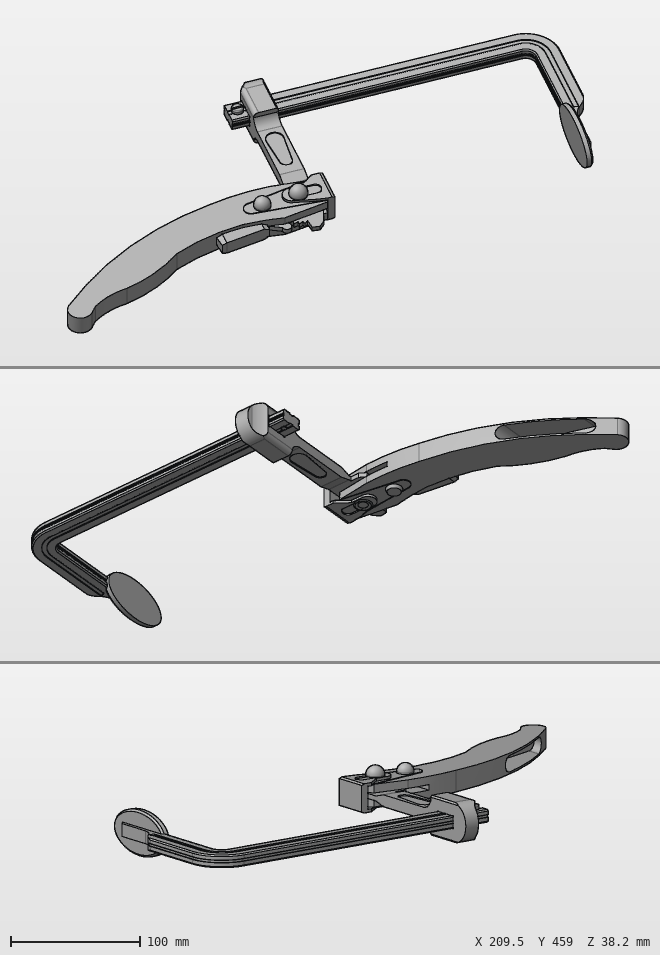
import cadquery as cq
import math


RAIL_WIDTH = 19.6
RAIL_HEIGHT = 10.2
RAIL_CHAMFER = 1.1
RAIL_FACE_GROOVE = 4.0
RAIL_SIDE_GROOVE = 2.0
RAIL_GROOVE_DEPTH = 0.9
RAIL_BOTTOM = -24.4
RAIL_TOP = 241.7
RAIL_BEND_RADIUS = 18.5
RAIL_END_X = 84.5
RAIL_END_SLANT = 5.5
RAIL_CORNER_LENGTH = 12.0
RAIL_CORNER_DROP = 7.7
PAD_LENGTH = 64.4
PAD_HEIGHT = 36.4
PAD_THICKNESS = 5.4
PAD_FACE_Y = 220.3
PAD_RIGHT_X = 141.2
PAD_BEVEL = 1.6
PAD_RIB_END_X = 129.0
PAD_RIB_RISE = 3.4
NECK_LENGTH = 10.7

ARM_WIDTH = 20.4
ARM_THICKNESS = 9.6
TONGUE_THICKNESS = 4.0
HEAD_HEIGHT = 32.0
HEAD_LEFT = -26.4
HEAD_RIGHT = 18.6
HEAD_STEP_Z = 11.8
ARM_NECK_X = 29.0
NECK_MID_X, NECK_MID_Z = 22.2, 6.8
SCOOP_END_X = -11.6
TAPER_START_X = 78.7
TAPER_END_X = 88.3
TONGUE_LEFT_X = 90.4
HEAD_ROUND = 4.2
HEAD_BEVEL = 1.4
ARM_POCKET_START, ARM_POCKET_START_RADIUS = 39.2, 7.2
ARM_POCKET_END, ARM_POCKET_END_RADIUS = 65.2, 5.0
ARM_POCKET_DEPTH = 1.0
TOOTH_TIP_RADIUS = 24.0
TOOTH_DEPTH = 2.6
TOOTH_COUNT = 4
TOOTH_PITCH = 10.0
FIRST_TOOTH_ANGLE = -40.0

LEVER_THICKNESS = 18.4
LEVER_TIP_THICKNESS = 15.8
LEVER_BEND_Y = -73.6
LEVER_SHOULDER = (96.5, 6.0)
LEVER_TIP = (173.2, -207.4)
LEVER_TIP_RADIUS = 9.9
TONGUE_SLOT = 4.4
TONGUE_SLOT_END_Y = -44.5
GRIP_TOP_Y, GRIP_BOTTOM_Y = -135.0, -201.5
GRIP_HEIGHT = 13.2
GRIP_FLOOR = [(144.0, -128.0), (156.0, -175.0), (165.0, -203.0)]
FOOT_LEFT, FOOT_RIGHT = 94.0, 122.8
FOOT_THICKNESS = 23.4
FOOT_TOP = 19.8
FOOT_WEB_BOTTOM = 13.8
FOOT_LEFT_BOTTOM = 10.4
SHOULDER_LEFT_Y = -0.8
SHOULDER_RIGHT_Y = 3.0
SHOULDER_SLANT = 2.0
FOOT_BEVEL = 2.5
FOOT_BEVEL_DROP = 1.0
WING_THICKNESS = 19.0
WING_END = (111.6, -45.2)
WING_END_RADIUS = 6.0
BOSS_CENTRE = (109.6, -11.4)
BOSS_RADIUS = 7.2
FOOT_SLOT_WIDTH = 10.0
FOOT_SLOT_TOP = 13.2
FOOT_SLOT_DEPTH = 1.2
PAWL_THICKNESS = 11.0
PAWL_NOSE = (132.5, -23.2)
PAWL_NOSE_RADIUS = 3.8
PAWL_TOP_Y = -37.6
PAWL_TOP_BEVEL = 4.4
PAWL_LIP_Y = -74.6
PAWL_BOTTOM_Y = -80.4
PAWL_END_DROP = 2.0

PIVOT = (110.6, -6.0)
LOWER_RIVET = (111.6, -36.0)
SHANK_RADIUS = 4.0
PIVOT_HEAD_RADIUS = 7.5
PIVOT_HEAD_TOP = 20.03
LOWER_HEAD_RADIUS = 6.8
LOWER_HEAD_TOP = 17.4
RIVET_TAIL_Z = -12.3
RIVET_TAIL_BEVEL = 1.2
SCREW_Y = -16.8
SCREW_HEAD_RADIUS = 4.8
SCREW_SHANK_RADIUS = 2.2
SCREW_HEAD_RISE = 3.4
SCREW_HEAD_ROUND = 1.0
SCREW_SLOT = 1.4


def plate(outline, thickness):
    """Extrude an XY outline evenly about the mid plane."""
    return outline.extrude(thickness / 2, both=True)


def pin(centre, radius, length=100.0):
    """Vertical cylinder about the mid plane."""
    return plate(cq.Workplane("XY").center(*centre).circle(radius), length)


def mirrored(half):
    """Both the upper feature and its copy below the mid plane."""
    return half.union(half.mirror("XY"))


def make_rail():
    """L-shaped grooved bar with an oval pressure pad on its free end."""
    top_axis = RAIL_TOP - RAIL_WIDTH / 2
    bend_start = top_axis - RAIL_BEND_RADIUS
    bend_mid = RAIL_BEND_RADIUS * math.sqrt(0.5)
    path = (
        cq.Workplane("XY")
        .moveTo(0, RAIL_BOTTOM)
        .lineTo(0, bend_start)
        .threePointArc((RAIL_BEND_RADIUS - bend_mid, bend_start + bend_mid), (RAIL_BEND_RADIUS, top_axis))
        .lineTo(RAIL_END_X + RAIL_CHAMFER, top_axis)
    )
    section = cq.Sketch().rect(RAIL_WIDTH, RAIL_HEIGHT).vertices().chamfer(RAIL_CHAMFER).reset()
    section = section.push([(0, RAIL_HEIGHT / 2), (0, -RAIL_HEIGHT / 2)])
    section = section.rect(RAIL_FACE_GROOVE, 2 * RAIL_GROOVE_DEPTH, mode="s").reset()
    section = section.push([(RAIL_WIDTH / 2, 0), (-RAIL_WIDTH / 2, 0)])
    section = section.rect(2 * RAIL_GROOVE_DEPTH, RAIL_SIDE_GROOVE, mode="s").reset()
    bar = cq.Workplane("XZ", origin=(0, RAIL_BOTTOM, 0)).placeSketch(section).sweep(path)
    corner_y = RAIL_TOP - RAIL_CORNER_DROP
    slant_foot = (RAIL_END_X - RAIL_END_SLANT, RAIL_TOP - RAIL_WIDTH)
    beyond_end = (
        cq.Workplane("XY")
        .moveTo(RAIL_END_X - RAIL_CORNER_LENGTH, RAIL_TOP)
        .threePointArc((RAIL_END_X - 5.5, RAIL_TOP - 2.6), (RAIL_END_X, corner_y))
        .lineTo(*slant_foot)
        .lineTo(RAIL_END_X + RAIL_WIDTH, RAIL_TOP - RAIL_WIDTH)
        .lineTo(RAIL_END_X + RAIL_WIDTH, RAIL_TOP)
        .close()
    )
    bar = bar.cut(plate(beyond_end, 2 * RAIL_HEIGHT))

    pad_back = PAD_FACE_Y + PAD_THICKNESS
    pad = (
        cq.Workplane("XZ", origin=(PAD_RIGHT_X - PAD_LENGTH / 2, pad_back, 0))
        .ellipse(PAD_LENGTH / 2, PAD_HEIGHT / 2)
        .extrude(PAD_THICKNESS)
        .faces(">Y")
        .chamfer(PAD_BEVEL)
    )
    rib_top = pad_back + PAD_RIB_RISE
    rib = (
        cq.Workplane("XY")
        .moveTo(*slant_foot)
        .lineTo(RAIL_END_X, corner_y)
        .threePointArc((RAIL_END_X + NECK_LENGTH / 2, rib_top + 1.4), (RAIL_END_X + NECK_LENGTH, rib_top))
        .lineTo(PAD_RIB_END_X - PAD_RIB_RISE, rib_top)
        .lineTo(PAD_RIB_END_X, pad_back)
        .lineTo(PAD_RIB_END_X, PAD_FACE_Y + RAIL_CHAMFER)
        .close()
    )
    rail = bar.union(plate(rib, RAIL_HEIGHT)).union(pad)
    return rail.cut(pin((0, SCREW_Y), SCREW_SHANK_RADIUS))


def make_head():
    """Arm head around the rail: round left end, scooped corner, curved neck to the bar."""
    half_height = HEAD_HEIGHT / 2
    half_width = ARM_WIDTH / 2
    half_bar = ARM_THICKNESS / 2
    round_x = HEAD_LEFT + half_height
    side = (
        cq.Workplane("XZ")
        .moveTo(round_x, half_height)
        .lineTo(HEAD_RIGHT, half_height)
        .lineTo(HEAD_RIGHT, HEAD_STEP_Z)
        .threePointArc((NECK_MID_X, NECK_MID_Z), (ARM_NECK_X, half_bar))
        .lineTo(ARM_NECK_X, -half_bar)
        .threePointArc((NECK_MID_X, -NECK_MID_Z), (HEAD_RIGHT, -HEAD_STEP_Z))
        .lineTo(HEAD_RIGHT, -half_height)
        .lineTo(round_x, -half_height)
        .threePointArc((HEAD_LEFT, 0), (round_x, half_height))
        .close()
        .extrude(half_width, both=True)
    )
    section = (
        cq.Workplane("YZ", origin=(HEAD_LEFT, 0, 0))
        .rect(ARM_WIDTH, HEAD_HEIGHT)
        .extrude(ARM_NECK_X - HEAD_LEFT)
        .edges("|X and <Y")
        .fillet(HEAD_ROUND)
        .edges("|X and >Y")
        .chamfer(HEAD_BEVEL)
    )
    scoop = (
        cq.Workplane("XY")
        .moveTo(HEAD_LEFT - 1, -2.2)
        .lineTo(-22.0, -2.9)
        .threePointArc((-16.5, -5.8), (SCOOP_END_X, -half_width))
        .lineTo(SCOOP_END_X, -half_width - 1)
        .lineTo(HEAD_LEFT - 1, -half_width - 1)
        .close()
    )
    return side.intersect(section).cut(plate(scoop, 2 * HEAD_HEIGHT))


def arm_pocket():
    """Tapered recess with round ends, tangent to both end circles."""
    span = ARM_POCKET_END - ARM_POCKET_START
    lean = (ARM_POCKET_START_RADIUS - ARM_POCKET_END_RADIUS) / span
    rise = math.sqrt(1 - lean**2)
    start = (ARM_POCKET_START + ARM_POCKET_START_RADIUS * lean, ARM_POCKET_START_RADIUS * rise)
    end = (ARM_POCKET_END + ARM_POCKET_END_RADIUS * lean, ARM_POCKET_END_RADIUS * rise)
    floor = ARM_THICKNESS / 2 - ARM_POCKET_DEPTH
    upper = (
        cq.Workplane("XY", origin=(0, 0, floor))
        .moveTo(*start)
        .lineTo(*end)
        .threePointArc((ARM_POCKET_END + ARM_POCKET_END_RADIUS, 0), (end[0], -end[1]))
        .lineTo(start[0], -start[1])
        .threePointArc((ARM_POCKET_START - ARM_POCKET_START_RADIUS, 0), start)
        .close()
        .extrude(2 * ARM_POCKET_DEPTH)
    )
    return mirrored(upper)


def around_pivot(radius, degrees):
    """Point at a given radius and direction from the pivot rivet."""
    angle = math.radians(degrees)
    return (PIVOT[0] + radius * math.cos(angle), PIVOT[1] + radius * math.sin(angle))


def make_tongue():
    """Thin ratchet plate passing through the lever, with teeth centred on the pivot."""
    half_width = ARM_WIDTH / 2
    outline = (
        cq.Workplane("XY")
        .moveTo(TAPER_END_X - 1, half_width)
        .lineTo(FOOT_LEFT + 2, half_width)
        .lineTo(FOOT_RIGHT, half_width)
        .lineTo(136.6, 5.8)
        .lineTo(141.2, 1.0)
        .lineTo(140.2, -5.2)
        .lineTo(*around_pivot(TOOTH_TIP_RADIUS - TOOTH_DEPTH, FIRST_TOOTH_ANGLE + TOOTH_COUNT * TOOTH_PITCH))
    )
    for tooth in reversed(range(TOOTH_COUNT)):
        angle = FIRST_TOOTH_ANGLE + tooth * TOOTH_PITCH
        outline = outline.lineTo(*around_pivot(TOOTH_TIP_RADIUS, angle + TOOTH_PITCH / 4))
        outline = outline.lineTo(*around_pivot(TOOTH_TIP_RADIUS - TOOTH_DEPTH, angle))
    outline = (
        outline.lineTo(FOOT_LEFT, -23.5)
        .lineTo(TONGUE_LEFT_X, -18.0)
        .lineTo(TONGUE_LEFT_X, -half_width)
        .lineTo(TAPER_END_X - 1, -half_width)
        .close()
    )
    return plate(outline, TONGUE_THICKNESS)


def make_arm():
    """Head, tapering bar and ratchet tongue as one body, with the rail hole through the head."""
    half_bar = ARM_THICKNESS / 2
    half_tongue = TONGUE_THICKNESS / 2
    bar = (
        cq.Workplane("XZ")
        .moveTo(HEAD_RIGHT, half_bar)
        .lineTo(TAPER_START_X, half_bar)
        .lineTo(TAPER_END_X, half_tongue)
        .lineTo(TAPER_END_X, -half_tongue)
        .lineTo(TAPER_START_X, -half_bar)
        .lineTo(HEAD_RIGHT, -half_bar)
        .close()
        .extrude(ARM_WIDTH / 2, both=True)
    )
    rail_hole = cq.Workplane("XY").box(RAIL_WIDTH, 2 * ARM_WIDTH, RAIL_HEIGHT)
    arm = make_head().union(bar).union(make_tongue())
    return arm.cut(rail_hole).cut(arm_pocket()).cut(pin(PIVOT, SHANK_RADIUS))


def lever_outline():
    """Curved hand lever: two long arcs on the left, a palm swell on the right, a round tip."""
    tip_x, tip_y = LEVER_TIP
    slant = LEVER_TIP_RADIUS * math.sqrt(0.5)
    return (
        cq.Workplane("XY")
        .moveTo(*LEVER_SHOULDER)
        .lineTo(92.7, -24.0)
        .threePointArc((93.0, -50.0), (96.2, LEVER_BEND_Y))
        .threePointArc((124.7, -157.4), (149.0, -194.0))
        .lineTo(tip_x - slant, tip_y - slant)
        .threePointArc((tip_x + slant, tip_y - slant), (tip_x + slant, tip_y + slant))
        .lineTo(174.2, -195.4)
        .threePointArc((167.2, -182.4), (163.2, -165.5))
        .threePointArc((152.8, -136.5), (139.6, -116.0))
        .threePointArc((129.3, -83.2), (126.2, -57.0))
        .threePointArc((127.7, -38.0), (130.0, -24.0))
        .lineTo(124.4, 13.2)
        .threePointArc((109.0, 12.0), LEVER_SHOULDER)
        .close()
    )


def lever_taper():
    """Wedge that sets the lever thickness, thinning evenly towards the tip."""
    half = LEVER_THICKNESS / 2
    half_tip = LEVER_TIP_THICKNESS / 2
    end_y = LEVER_TIP[1] - LEVER_TIP_RADIUS
    return (
        cq.Workplane("YZ")
        .polyline([(FOOT_TOP, half), (end_y, half_tip), (end_y, -half_tip), (FOOT_TOP, -half)])
        .close()
        .extrude(2 * LEVER_TIP[0])
    )


def grip_pocket():
    """Deep round-ended pocket in the left face of the lever, with a bent floor."""
    window = (
        cq.Workplane("YZ", origin=(0, (GRIP_TOP_Y + GRIP_BOTTOM_Y) / 2, 0))
        .slot2D(GRIP_TOP_Y - GRIP_BOTTOM_Y, GRIP_HEIGHT)
        .extrude(LEVER_TIP[0])
    )
    first_y = GRIP_FLOOR[0][1]
    last_y = GRIP_FLOOR[-1][1]
    left_of_floor = cq.Workplane("XY").polyline([(0, first_y), *GRIP_FLOOR, (0, last_y)]).close()
    return window.intersect(plate(left_of_floor, LEVER_THICKNESS))


def make_lever():
    """Lever with grip pocket, tongue slot, pawl recess and rivet holes."""
    body = plate(lever_outline(), LEVER_THICKNESS).intersect(lever_taper())
    slot = cq.Workplane("XY").box(LEVER_TIP[0], FOOT_TOP - TONGUE_SLOT_END_Y, TONGUE_SLOT)
    slot = slot.translate((FOOT_LEFT, (FOOT_TOP + TONGUE_SLOT_END_Y) / 2, 0))
    lever = body.cut(grip_pocket()).cut(slot).cut(make_pawl())
    return lever.cut(pin(PIVOT, SHANK_RADIUS)).cut(pin(LOWER_RIVET, SHANK_RADIUS))


def make_foot():
    """Thrust foot: two tapering side plates astride the lever, joined by an end web."""
    wing_x, wing_y = WING_END
    wings = (
        cq.Workplane("XY")
        .moveTo(FOOT_LEFT, FOOT_LEFT_BOTTOM)
        .lineTo(*LEVER_SHOULDER)
        .lineTo(wing_x - WING_END_RADIUS, wing_y)
        .threePointArc((wing_x, wing_y - WING_END_RADIUS), (wing_x + WING_END_RADIUS, wing_y))
        .lineTo(FOOT_RIGHT, FOOT_WEB_BOTTOM)
        .lineTo(FOOT_LEFT, FOOT_WEB_BOTTOM)
        .close()
    )
    boss_x, boss_y = BOSS_CENTRE
    shoulder = (
        cq.Workplane("XY")
        .polyline([
            (FOOT_LEFT, FOOT_WEB_BOTTOM),
            (FOOT_LEFT, FOOT_LEFT_BOTTOM),
            (boss_x - BOSS_RADIUS, SHOULDER_LEFT_Y),
            (boss_x - BOSS_RADIUS, boss_y),
            (boss_x + BOSS_RADIUS, boss_y),
            (FOOT_RIGHT - SHOULDER_SLANT, SHOULDER_RIGHT_Y),
            (FOOT_RIGHT, FOOT_WEB_BOTTOM),
        ])
        .close()
    )
    half = FOOT_THICKNESS / 2
    web = (
        cq.Workplane("YZ", origin=(FOOT_LEFT, 0, 0))
        .polyline([
            (FOOT_WEB_BOTTOM, half),
            (FOOT_TOP - FOOT_BEVEL, half),
            (FOOT_TOP, half - FOOT_BEVEL_DROP),
            (FOOT_TOP, FOOT_BEVEL_DROP - half),
            (FOOT_TOP - FOOT_BEVEL, -half),
            (FOOT_WEB_BOTTOM, -half),
        ])
        .close()
        .extrude(FOOT_RIGHT - FOOT_LEFT)
    )
    sides = plate(wings, WING_THICKNESS).union(plate(shoulder, FOOT_THICKNESS))
    sides = sides.union(pin(BOSS_CENTRE, BOSS_RADIUS, FOOT_THICKNESS))
    slot_length = FOOT_SLOT_TOP - PIVOT[1]
    slot = (
        cq.Workplane("XY", origin=(boss_x, (FOOT_SLOT_TOP + PIVOT[1]) / 2, half - FOOT_SLOT_DEPTH))
        .slot2D(slot_length, FOOT_SLOT_WIDTH, 90)
        .extrude(2 * FOOT_SLOT_DEPTH)
    )
    foot = sides.cut(lever_taper()).union(web).cut(mirrored(slot))
    return foot.cut(pin(PIVOT, SHANK_RADIUS)).cut(pin(LOWER_RIVET, SHANK_RADIUS))


def make_pawl():
    """Release pawl: round nose at the teeth, a thin link, and a thumb grip beside the lever."""
    link = (
        cq.Workplane("XY")
        .polyline([
            (129.0, -22.0),
            (133.0, -26.8),
            (128.0, -36.0),
            (126.5, -50.0),
            (120.0, -50.0),
            (121.0, -32.0),
        ])
        .close()
    )
    nose = pin(PAWL_NOSE, PAWL_NOSE_RADIUS, TONGUE_THICKNESS)
    grip = (
        cq.Workplane("XY")
        .polyline([
            (120.0, -42.0),
            (126.5, PAWL_TOP_Y),
            (132.8, PAWL_TOP_Y),
            (138.2, PAWL_LIP_Y),
            (138.4, PAWL_BOTTOM_Y + 2),
            (120.0, PAWL_BOTTOM_Y),
        ])
        .close()
    )
    half = PAWL_THICKNESS / 2
    end = half - PAWL_END_DROP
    side = (
        cq.Workplane("YZ", origin=(PAWL_NOSE[0], 0, 0))
        .polyline([
            (PAWL_TOP_Y, end),
            (PAWL_TOP_Y - PAWL_TOP_BEVEL, half),
            (PAWL_LIP_Y, half),
            (PAWL_BOTTOM_Y, end),
            (PAWL_BOTTOM_Y, -end),
            (PAWL_LIP_Y, -half),
            (PAWL_TOP_Y - PAWL_TOP_BEVEL, -half),
            (PAWL_TOP_Y, -end),
        ])
        .close()
        .extrude(PAWL_NOSE[0] / 2, both=True)
    )
    grip = plate(grip, PAWL_THICKNESS).intersect(side)
    return plate(link, TONGUE_THICKNESS).union(nose).union(grip)


def make_rivet(centre, head_radius, seat, head_top):
    """Hemispherical head above, plain shank, and a bevelled tail head below."""
    rim = head_top - head_radius
    dome_mid = head_radius * math.sqrt(0.5)
    profile = (
        cq.Workplane("XZ")
        .moveTo(0, head_top)
        .threePointArc((dome_mid, rim + dome_mid), (head_radius, rim))
        .lineTo(head_radius, seat)
        .lineTo(SHANK_RADIUS, seat)
        .lineTo(SHANK_RADIUS, -seat)
        .lineTo(head_radius, -seat)
        .lineTo(head_radius - RIVET_TAIL_BEVEL, RIVET_TAIL_Z)
        .lineTo(0, RIVET_TAIL_Z)
        .close()
    )
    return profile.revolve(360, (0, 0), (0, 1)).translate((centre[0], centre[1], 0))


def make_screw():
    """Slotted stop screw in the lower end of the rail."""
    rail_top = RAIL_HEIGHT / 2
    shank = pin((0, SCREW_Y), SCREW_SHANK_RADIUS, RAIL_HEIGHT)
    head = (
        cq.Workplane("XY", origin=(0, SCREW_Y, rail_top))
        .circle(SCREW_HEAD_RADIUS)
        .extrude(SCREW_HEAD_RISE)
        .faces(">Z")
        .edges()
        .fillet(SCREW_HEAD_ROUND)
    )
    slot = cq.Workplane("XY").box(SCREW_SLOT, 4 * SCREW_HEAD_RADIUS, SCREW_HEAD_RISE)
    slot = slot.translate((0, SCREW_Y, rail_top + SCREW_HEAD_RISE))
    return shank.union(head).cut(slot)


rail = make_rail()
arm = make_arm()
lever = make_lever()
foot = make_foot()
pawl = make_pawl()
pivot_rivet = make_rivet(PIVOT, PIVOT_HEAD_RADIUS, FOOT_THICKNESS / 2, PIVOT_HEAD_TOP)
lower_rivet = make_rivet(LOWER_RIVET, LOWER_HEAD_RADIUS, WING_THICKNESS / 2, LOWER_HEAD_TOP)
screw = make_screw()

bodies = [rail, arm, lever, foot, pawl, pivot_rivet, lower_rivet, screw]
result = cq.Compound.makeCompound([body.val() for body in bodies])